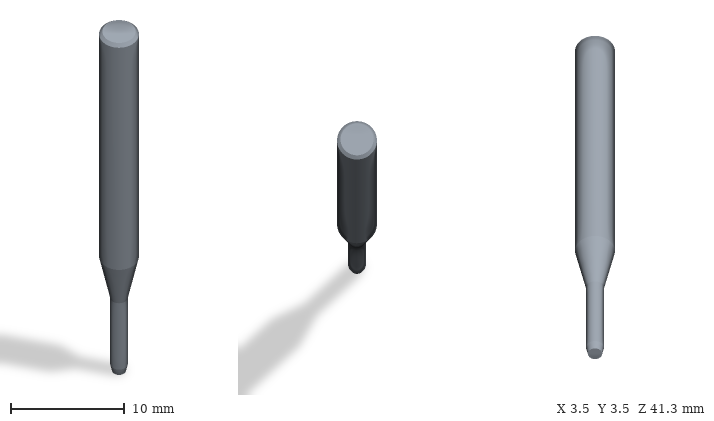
import cadquery as cq

TIP_TAPER_HEIGHT = 0.8
CUTTER_LENGTH = 7.9
NECK_LENGTH = 1.0
CONE_LENGTH = 5.0
TOTAL_LENGTH = 41.3

SHANK_RADIUS = 1.75
CUTTER_RADIUS = 0.78
TIP_RADIUS = 0.62

SHANK_CHAMFER = 0.3

CONE_BASE_Z = CUTTER_LENGTH + NECK_LENGTH
CONE_TOP_Z = CONE_BASE_Z + CONE_LENGTH


def revolve_about_z(profile_points):
    """Turn a closed (radius, height) profile into a solid of revolution about Z."""
    return cq.Workplane("XZ").polyline(profile_points).close().revolve(360, (0, 0), (0, 1))


def make_cutter():
    """Slender working end with a tapered tip, reaching up to the neck."""
    return revolve_about_z([
        (0, 0),
        (TIP_RADIUS, 0),
        (CUTTER_RADIUS, TIP_TAPER_HEIGHT),
        (CUTTER_RADIUS, CUTTER_LENGTH),
        (0, CUTTER_LENGTH),
    ])


def make_shank():
    """Short neck flaring through a cone into the clamping shank, bevelled at the top."""
    return revolve_about_z([
        (0, CUTTER_LENGTH),
        (CUTTER_RADIUS, CUTTER_LENGTH),
        (CUTTER_RADIUS, CONE_BASE_Z),
        (SHANK_RADIUS, CONE_TOP_Z),
        (SHANK_RADIUS, TOTAL_LENGTH - SHANK_CHAMFER),
        (SHANK_RADIUS - SHANK_CHAMFER, TOTAL_LENGTH),
        (0, TOTAL_LENGTH),
    ])


cutter = make_cutter()
shank = make_shank()

result = cq.Compound.makeCompound([cutter.val(), shank.val()])